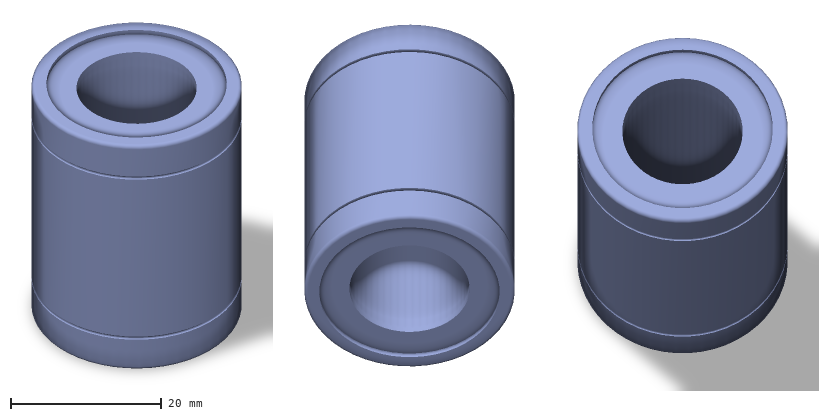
import cadquery as cq

outer_diameter = 28.0
bore_diameter = 16.0
length = 37.0

rim_radius = 0.5

groove_width = 0.5
groove_depth = 0.5
groove_end_distance = 5.0

recess_diameter = 24.0
recess_depth = 0.7


def disc(diameter, bottom, height):
    """Solid cylinder on the bearing axis, rising from the given Z."""
    return cq.Workplane("XY").workplane(offset=bottom).circle(diameter / 2).extrude(height)


def ring_groove(bottom):
    """Ring of material removed from the outer wall for one groove."""
    floor_diameter = outer_diameter - 2 * groove_depth
    return disc(outer_diameter, bottom, groove_width).cut(disc(floor_diameter, bottom, groove_width))


top = length / 2
bottom = -length / 2

sleeve = disc(outer_diameter, bottom, length).edges("%CIRCLE").fillet(rim_radius)
sleeve = sleeve.cut(disc(bore_diameter, bottom, length))

for groove_bottom in (bottom + groove_end_distance, top - groove_end_distance - groove_width):
    sleeve = sleeve.cut(ring_groove(groove_bottom))

for recess_bottom in (bottom, top - recess_depth):
    sleeve = sleeve.cut(disc(recess_diameter, recess_bottom, recess_depth))

result = sleeve